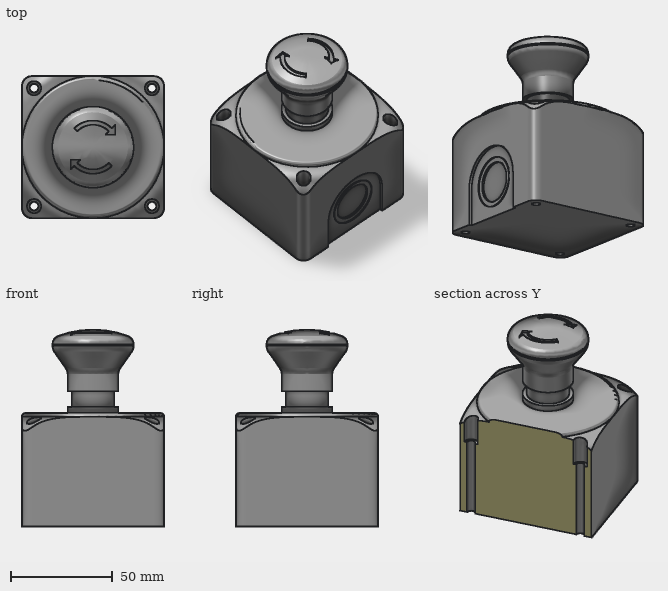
import cadquery as cq
import math

TOTAL_HEIGHT = 97.0

HOUSING_SIZE = 70.0
HOUSING_TOP = 56.0
CORNER_RADIUS = 5.1
RIM_RADIUS = HOUSING_SIZE / 2
RIM_ROUND = 2.0
SHOULDER_Z = HOUSING_TOP - RIM_ROUND
SHOULDER_ROUND = 14.7

SCREW_PITCH = 58.0
SCREW_HOLE_DIAMETER = 4.2
COUNTERBORE_DIAMETER = 7.0
COUNTERBORE_FLOOR_Z = 40.0

ENTRY_ARCH_RADIUS = 18.0
ENTRY_CENTER_Z = ENTRY_ARCH_RADIUS
ENTRY_ARCH_DEPTH = 1.5
ENTRY_STEP_RADIUS = 12.5
ENTRY_STEP_DEPTH = ENTRY_ARCH_DEPTH + 0.5
ENTRY_KNOCKOUT_RADIUS = 10.0
ENTRY_KNOCKOUT_DEPTH = ENTRY_STEP_DEPTH + 1.0

COLLAR_RADIUS = 12.5
COLLAR_TOP = HOUSING_TOP + 3.0
SHAFT_RADIUS = 10.5
SLEEVE_BOTTOM = 66.6
SLEEVE_RADIUS = COLLAR_RADIUS
FLARE_START_Z = 76.7
FLARE_ANGLE = 35.0
FLARE_ROUND = 5.0
HEAD_RADIUS = 20.0
FLARE_END_Z = FLARE_START_Z + (HEAD_RADIUS - SLEEVE_RADIUS) / math.tan(math.radians(FLARE_ANGLE))
DOME_RADIUS = 48.0
DOME_CENTER_Z = TOTAL_HEIGHT - DOME_RADIUS
HEAD_EDGE_Z = DOME_CENTER_Z + math.sqrt(DOME_RADIUS**2 - HEAD_RADIUS**2)
HEAD_EDGE_ROUND = 4.4

GROOVE_DEPTH = 0.5
GROOVE_BOTTOM = FLARE_END_Z + FLARE_ROUND * math.tan(math.radians(FLARE_ANGLE / 2))
GROOVE_TOP = DOME_CENTER_Z + math.sqrt(
    (DOME_RADIUS - HEAD_EDGE_ROUND) ** 2 - (HEAD_RADIUS - HEAD_EDGE_ROUND) ** 2
)

ARROW_INNER_RADIUS = 11.0
ARROW_OUTER_RADIUS = 13.1
ARROW_HALF_ANGLE = 45.0
ARROW_HEAD_OUTER = 10.9
ARROW_HEAD_LEG = 4.7
ARROW_DEPTH = 1.0


def polar(radius, angle):
    """Point at a radius and an angle in degrees."""
    return radius * math.cos(math.radians(angle)), radius * math.sin(math.radians(angle))


def arc_middle(center_r, center_z, radius, angle=45.0):
    """Point on a profile arc at an angle in degrees above the horizontal."""
    dr, dz = polar(radius, angle)
    return center_r + dr, center_z + dz


def crown():
    """Round envelope: a wide rounded shoulder that rises to the rim disc."""
    envelope_radius = RIM_RADIUS + SHOULDER_ROUND
    rim_flat_radius = RIM_RADIUS - RIM_ROUND
    shoulder_start_z = SHOULDER_Z - SHOULDER_ROUND
    return (
        cq.Workplane("XZ")
        .lineTo(envelope_radius, 0)
        .lineTo(envelope_radius, shoulder_start_z)
        .threePointArc(arc_middle(RIM_RADIUS, shoulder_start_z, SHOULDER_ROUND), (RIM_RADIUS, SHOULDER_Z))
        .threePointArc(arc_middle(rim_flat_radius, SHOULDER_Z, RIM_ROUND), (rim_flat_radius, HOUSING_TOP))
        .lineTo(0, HOUSING_TOP)
        .close()
        .revolve(360, (0, 0, 0), (0, 1, 0))
    )


def screw_holes():
    """Through holes with deep counterbores from above."""
    corners = cq.Workplane("XY").rect(SCREW_PITCH, SCREW_PITCH, forConstruction=True).vertices()
    holes = corners.circle(SCREW_HOLE_DIAMETER / 2).extrude(HOUSING_TOP)
    counterbores = (
        cq.Workplane("XY", origin=(0, 0, COUNTERBORE_FLOOR_Z))
        .rect(SCREW_PITCH, SCREW_PITCH, forConstruction=True)
        .vertices()
        .circle(COUNTERBORE_DIAMETER / 2)
        .extrude(HOUSING_TOP - COUNTERBORE_FLOOR_Z)
    )
    return holes.union(counterbores)


def cable_entry():
    """Arched recess open at the bottom, with two round steps in it."""
    face = cq.Workplane("YZ", origin=(-HOUSING_SIZE / 2, 0, 0))
    entry = (
        face.moveTo(-ENTRY_ARCH_RADIUS, 0)
        .lineTo(-ENTRY_ARCH_RADIUS, ENTRY_CENTER_Z)
        .threePointArc((0, ENTRY_CENTER_Z + ENTRY_ARCH_RADIUS), (ENTRY_ARCH_RADIUS, ENTRY_CENTER_Z))
        .lineTo(ENTRY_ARCH_RADIUS, 0)
        .close()
        .extrude(ENTRY_ARCH_DEPTH)
    )
    steps = [
        (ENTRY_STEP_RADIUS, ENTRY_STEP_DEPTH),
        (ENTRY_KNOCKOUT_RADIUS, ENTRY_KNOCKOUT_DEPTH),
    ]
    for radius, depth in steps:
        entry = entry.union(face.center(0, ENTRY_CENTER_Z).circle(radius).extrude(depth))
    return entry


def make_housing():
    block = (
        cq.Workplane("XY")
        .rect(HOUSING_SIZE, HOUSING_SIZE)
        .extrude(HOUSING_TOP)
        .edges("|Z")
        .fillet(CORNER_RADIUS)
    )
    return block.intersect(crown()).cut(screw_holes()).cut(cable_entry())


def round_ring_edge(body, z, radius):
    """Fillet the circular edge at height z."""
    tolerance = 0.01
    edges = body.edges("%CIRCLE").filter(lambda edge: abs(edge.Center().z - z) < tolerance)
    return edges.fillet(radius)


def shadow_groove():
    """Thin ring that cuts the groove into the head."""
    return (
        cq.Workplane("XY", origin=(0, 0, GROOVE_BOTTOM))
        .circle(HEAD_RADIUS + GROOVE_DEPTH)
        .circle(HEAD_RADIUS - GROOVE_DEPTH)
        .extrude(GROOVE_TOP - GROOVE_BOTTOM)
    )


def arrow(turn):
    """Curved arrow prism through the head, turned about the Z axis."""
    band_start = 180 - ARROW_HALF_ANGLE
    head_inner = ARROW_HEAD_OUTER - ARROW_HEAD_LEG
    plane = cq.Workplane("XY", origin=(0, 0, FLARE_END_Z))
    height = TOTAL_HEIGHT - FLARE_END_Z
    band = (
        plane.moveTo(*polar(ARROW_INNER_RADIUS, band_start))
        .lineTo(*polar(ARROW_OUTER_RADIUS, band_start))
        .threePointArc((0, ARROW_OUTER_RADIUS), polar(ARROW_OUTER_RADIUS, ARROW_HALF_ANGLE))
        .lineTo(*polar(ARROW_INNER_RADIUS, ARROW_HALF_ANGLE))
        .threePointArc((0, ARROW_INNER_RADIUS), polar(ARROW_INNER_RADIUS, band_start))
        .close()
        .extrude(height)
    )
    head = (
        plane.moveTo(ARROW_HEAD_OUTER, ARROW_HEAD_OUTER)
        .lineTo(ARROW_HEAD_OUTER, head_inner)
        .lineTo(head_inner, head_inner)
        .close()
        .extrude(height)
    )
    return band.union(head).rotate((0, 0, 0), (0, 0, 1), turn)


def engrave_arrows(body):
    """Sink both arrows to a floor that follows the dome."""
    floor_ball = cq.Workplane("XY", origin=(0, 0, DOME_CENTER_Z)).sphere(DOME_RADIUS - ARROW_DEPTH)
    for turn in (0, 180):
        body = body.cut(arrow(turn).cut(floor_ball))
    return body


def make_button():
    dome_middle_angle = 80.0
    dome_middle = arc_middle(0, DOME_CENTER_Z, DOME_RADIUS, dome_middle_angle)
    body = (
        cq.Workplane("XZ")
        .moveTo(0, HOUSING_TOP)
        .lineTo(COLLAR_RADIUS, HOUSING_TOP)
        .lineTo(COLLAR_RADIUS, COLLAR_TOP)
        .lineTo(SHAFT_RADIUS, COLLAR_TOP)
        .lineTo(SHAFT_RADIUS, SLEEVE_BOTTOM)
        .lineTo(SLEEVE_RADIUS, SLEEVE_BOTTOM)
        .lineTo(SLEEVE_RADIUS, FLARE_START_Z)
        .lineTo(HEAD_RADIUS, FLARE_END_Z)
        .lineTo(HEAD_RADIUS, HEAD_EDGE_Z)
        .threePointArc(dome_middle, (0, TOTAL_HEIGHT))
        .close()
        .revolve(360, (0, 0, 0), (0, 1, 0))
    )
    body = round_ring_edge(body, FLARE_START_Z, FLARE_ROUND)
    body = round_ring_edge(body, FLARE_END_Z, FLARE_ROUND)
    body = round_ring_edge(body, HEAD_EDGE_Z, HEAD_EDGE_ROUND)
    return engrave_arrows(body.cut(shadow_groove()))


housing = make_housing()
button = make_button()

result = cq.Compound.makeCompound([housing.val(), button.val()])